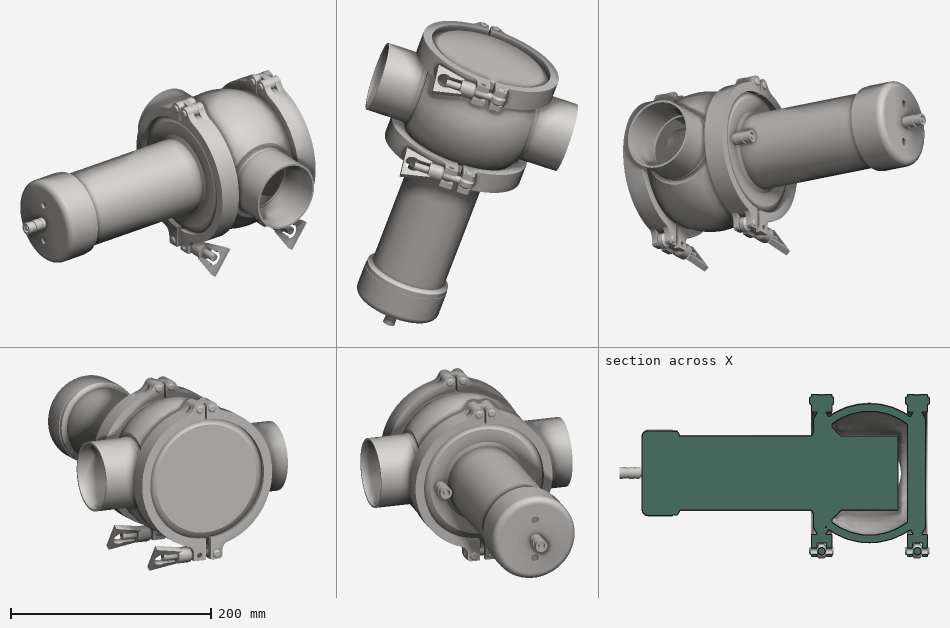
import cadquery as cq
import math

BALL_RADIUS = 70.0
BALL_WALL = 8.0
PORT_FACE_X = 57.5
PORT_BORE_RADIUS = 31.5
PIPE_SPAN = 200.0
PIPE_END_X = PIPE_SPAN / 2
PIPE_DIAMETER = 70.0
PIPE_RADIUS = PIPE_DIAMETER / 2
PIPE_BORE_RADIUS = 33.0
PIPE_BORE_START_X = 55.3
COLLAR_RADIUS = 36.5
COLLAR_LENGTH = 1.2
COLLAR_STEP_RADIUS = 35.8
COLLAR_STEP_LENGTH = 2.2
COLLAR_TAPER = 1.2

CLAMP_INNER_Y = 37.5
CLAMP_WIDTH = 20.7
CLAMP_OFFSET = CLAMP_INNER_Y + CLAMP_WIDTH / 2
CLAMP_RADIUS = 70.0
CLAMP_BORE_RADIUS = 61.2
CLAMP_HALF_SHIFT = 1.5

COVER_FACE_Y = 56.0
COVER_INNER_Y = 39.5
COVER_FACE_RADIUS = 55.3
COVER_RIM_RADIUS = 64.3
COVER_BEVEL = 5.3

HINGE_PIN_X = (-5.3, 8.0)
HINGE_Z = 72.3
HINGE_KNUCKLE_RADIUS = 6.5
HINGE_LINK_WIDTH = 6.8
HINGE_LINK_RADIUS = 6.2
HINGE_FLARE_X = (-18.8, 21.3)
HINGE_FLARE_TOP_Z = 74.0
HINGE_FLARE_MID_Z = 70.0
HINGE_FLARE_SAG = 3.0
HINGE_SPLIT_X = (0.3, 2.5)

BOLT_Z = -77.8
EYE_PIN_X = -10.5
SEAT_HOLE_X = 8.0
SEAT_HOLE_DIAMETER = 6.0
LUG_BOTTOM_Z = -83.0
LUG_CHAMFER = 2.0
LUG_FLARE_END_Z = -77.0
LUG_FLARE_MID_Z = -70.5
LUG_FLARE_SAG = 1.5
LUG_OUTER_X = (-16.7, 14.5)
LUG_FLARE_X = (-20.5, 19.0)
LUG_SPLIT_X = (-4.3, 1.5)
BOLT_SLOT_WIDTH = 9.3

PIN_HEAD_DIAMETER = 8.0
PIN_HEAD_HEIGHT = 2.0
PIN_HEAD_ROUND = 1.7

BOLT_DIAMETER = 7.7
BOLT_END_X = 44.2
EYE_DIAMETER = 15.5
EYE_WIDTH = 8.5
EYE_CHAMFER = 2.0
HUB_DIAMETER = 16.0
HUB_X = (14.0, 29.3)
HUB_FILLET = 3.5
WING_X = (27.2, 55.5)
WING_ROOT_HALF_SPAN = 9.0
WING_TIP_HALF_SPAN = 15.8
WING_THICKNESS = 6.0
WING_TILT = 36
WING_SLOT_WIDTH = 12.5
WING_HOLE_DIAMETER = 15.5
WING_HOLE_X = 46.3

TUBE_RADIUS = 38.0
TUBE_END_Y = -188.7
TUBE_WELD_WIDTH = 3.7
TUBE_WELD_HEIGHT = 2.2
INSERT_END_Y = 28.7
INSERT_FLARE_Y = -28.0
CAP_RADIUS = 43.2
CAP_STEP_RADIUS = 42.5
CAP_BACK_Y = -191.5
CAP_BAND_Y = -196.5
CAP_FRONT_Y = -227.0
CAP_ROUND = 6.5
CAP_HOLE_DIAMETER = 7.7
CAP_HOLE_DEPTH = 3.0
CAP_HOLE_Z = 20.0

FITTING_LENGTH = 22.0
SIDE_FITTING_X = -45.5
SIDE_FITTING_RECESS = 0.5
FITTING_BORE_DIAMETER = 7.7
FITTING_CORE_DIAMETER = 4.3
FITTING_BORE_DEPTH = 4.5


def rod_x(radius, start, end):
    """Cylinder about the X axis."""
    return cq.Workplane("YZ").workplane(offset=start).circle(radius).extrude(end - start)


def rod_y(radius, start, end, x=0.0, z=0.0):
    """Cylinder along Y through the point (x, z)."""
    rod = cq.Workplane("XZ").circle(radius).extrude(start - end)
    return rod.translate((x, start, z))


def slab(x_range, width, z_range):
    """Box centred on Y = 0."""
    length = x_range[1] - x_range[0]
    height = z_range[1] - z_range[0]
    box = cq.Workplane("XY").box(length, width, height, centered=(False, True, False))
    return box.translate((x_range[0], 0, z_range[0]))


def turned_y(profile):
    """Turn a closed (radius, y) outline about the Y axis."""
    return cq.Workplane("XY").polyline(profile).close().revolve(360, (0, 0, 0), (0, 1, 0))


def ball_housing():
    """Hollow ball with a flat, a stepped collar and a pipe at both ports."""
    limits = cq.Workplane("XY").box(2 * PORT_FACE_X, 2 * CLAMP_OFFSET, 2 * BALL_RADIUS)
    body = cq.Workplane("XY").sphere(BALL_RADIUS).intersect(limits)
    collar_end = PORT_FACE_X + COLLAR_LENGTH
    step_end = collar_end + COLLAR_STEP_LENGTH
    taper_end = step_end + COLLAR_TAPER
    collar_outline = [
        (0, 0),
        (0, COLLAR_RADIUS),
        (collar_end, COLLAR_RADIUS),
        (collar_end, COLLAR_STEP_RADIUS),
        (step_end, COLLAR_STEP_RADIUS),
        (taper_end, PIPE_RADIUS),
        (PIPE_END_X, PIPE_RADIUS),
        (PIPE_END_X, 0),
    ]
    port = cq.Workplane("XY").polyline(collar_outline).close().revolve(360, (0, 0, 0), (1, 0, 0))
    body = body.union(port).union(port.mirror("YZ"))
    hollow_limits = cq.Workplane("XY").box(2 * BALL_RADIUS, 2 * CLAMP_INNER_Y, 2 * BALL_RADIUS)
    body = body.cut(cq.Workplane("XY").sphere(BALL_RADIUS - BALL_WALL).intersect(hollow_limits))
    body = body.cut(rod_x(PORT_BORE_RADIUS, -PIPE_END_X, PIPE_END_X))
    pipe_bore = rod_x(PIPE_BORE_RADIUS, PIPE_BORE_START_X, PIPE_END_X)
    return body.cut(pipe_bore).cut(pipe_bore.mirror("YZ"))


def cover():
    """Disc bevelled on both sides, with its outer face towards -Y."""
    return turned_y([
        (0, -COVER_FACE_Y),
        (COVER_FACE_RADIUS, -COVER_FACE_Y),
        (COVER_RIM_RADIUS, COVER_BEVEL - COVER_FACE_Y),
        (COVER_RIM_RADIUS, -COVER_BEVEL - COVER_INNER_Y),
        (COVER_FACE_RADIUS, -COVER_INNER_Y),
        (0, -COVER_INNER_Y),
    ])


def circle_z(x):
    """Height of the clamp's outer surface above a given X."""
    return math.sqrt(CLAMP_RADIUS**2 - (abs(x) - CLAMP_HALF_SHIFT) ** 2)


def spread_disc(radius):
    """Two discs across the clamp width, shifted apart along X and joined."""
    half = CLAMP_WIDTH / 2
    left = rod_y(radius, -half, half, -CLAMP_HALF_SHIFT)
    return left.union(rod_y(radius, -half, half, CLAMP_HALF_SHIFT))


def plate(outline):
    """Extrude a closed XZ outline over the clamp width, centred on Y = 0."""
    return outline.close().extrude(CLAMP_WIDTH / 2, both=True)


def hinge_lugs():
    """Slotted pair of hinge knuckles flaring into the ring."""
    radius = HINGE_KNUCKLE_RADIUS
    reach = math.sqrt(radius**2 - (HINGE_FLARE_TOP_Z - HINGE_Z) ** 2)
    left_x = HINGE_PIN_X[0] - reach
    right_x = HINGE_PIN_X[1] + reach
    outline = (
        cq.Workplane("XZ")
        .moveTo(HINGE_FLARE_X[0], 0)
        .lineTo(HINGE_FLARE_X[0], circle_z(HINGE_FLARE_X[0]))
        .threePointArc((left_x - HINGE_FLARE_SAG, HINGE_FLARE_MID_Z), (left_x, HINGE_FLARE_TOP_Z))
        .lineTo(HINGE_PIN_X[0], HINGE_Z)
        .lineTo(HINGE_PIN_X[1], HINGE_Z)
        .lineTo(right_x, HINGE_FLARE_TOP_Z)
        .threePointArc(
            (right_x + HINGE_FLARE_SAG, HINGE_FLARE_MID_Z),
            (HINGE_FLARE_X[1], circle_z(HINGE_FLARE_X[1])),
        )
        .lineTo(HINGE_FLARE_X[1], 0)
    )
    lugs = plate(outline)
    half = CLAMP_WIDTH / 2
    for x in HINGE_PIN_X:
        lugs = lugs.union(rod_y(radius, -half, half, x, HINGE_Z))
    return lugs.cut(slab(HINGE_FLARE_X, HINGE_LINK_WIDTH, (0, HINGE_Z + radius)))


def closing_lugs():
    """Slotted pair of lugs for the eye bolt, flaring into the ring."""
    left_flare = (LUG_FLARE_X[0], -circle_z(LUG_FLARE_X[0]))
    right_flare = (LUG_FLARE_X[1], -circle_z(LUG_FLARE_X[1]))
    outline = (
        cq.Workplane("XZ")
        .moveTo(LUG_FLARE_X[0], 0)
        .lineTo(*left_flare)
        .threePointArc((LUG_OUTER_X[0] - LUG_FLARE_SAG, LUG_FLARE_MID_Z), (LUG_OUTER_X[0], LUG_FLARE_END_Z))
        .lineTo(LUG_OUTER_X[0], LUG_BOTTOM_Z + LUG_CHAMFER)
        .lineTo(LUG_OUTER_X[0] + LUG_CHAMFER, LUG_BOTTOM_Z)
        .lineTo(LUG_OUTER_X[1], LUG_BOTTOM_Z)
        .lineTo(LUG_OUTER_X[1], LUG_FLARE_END_Z)
        .threePointArc((LUG_OUTER_X[1] + LUG_FLARE_SAG, LUG_FLARE_MID_Z), right_flare)
        .lineTo(LUG_FLARE_X[1], 0)
    )
    lugs = plate(outline)
    return lugs.cut(slab(LUG_FLARE_X, BOLT_SLOT_WIDTH, (LUG_BOTTOM_Z, 0)))


def headed_pin(x, z):
    """Pin across the clamp with a domed head at each end."""
    reach = CLAMP_WIDTH / 2 + PIN_HEAD_HEIGHT
    pin = rod_y(PIN_HEAD_DIAMETER / 2, -reach, reach, x, z)
    return pin.faces("<Y or >Y").edges().fillet(PIN_HEAD_ROUND)


def hinge_link():
    """Flat link joining the two hinge pins."""
    spacing = HINGE_PIN_X[1] - HINGE_PIN_X[0]
    middle = sum(HINGE_PIN_X) / 2
    radius = HINGE_LINK_RADIUS
    link = cq.Workplane("XZ").slot2D(spacing + 2 * radius, 2 * radius)
    return link.extrude(HINGE_LINK_WIDTH / 2, both=True).translate((middle, 0, HINGE_Z))


def wings():
    """Open tapered wings of the nut, tilted about the bolt axis."""
    root_x, tip_x = WING_X
    outline = [
        (root_x, -WING_ROOT_HALF_SPAN),
        (tip_x, -WING_TIP_HALF_SPAN),
        (tip_x, WING_TIP_HALF_SPAN),
        (root_x, WING_ROOT_HALF_SPAN),
    ]
    half = WING_THICKNESS / 2
    blade = cq.Workplane("XZ").polyline(outline).close().extrude(half, both=True)
    slot_z = (-WING_SLOT_WIDTH / 2, WING_SLOT_WIDTH / 2)
    blade = blade.cut(slab((root_x, WING_HOLE_X), WING_THICKNESS, slot_z))
    blade = blade.cut(rod_y(WING_HOLE_DIAMETER / 2, -half, half, WING_HOLE_X))
    return blade.rotate((0, 0, 0), (1, 0, 0), -WING_TILT)


def eye_bolt():
    """Eye bolt along X carrying the wing nut."""
    bolt = rod_x(BOLT_DIAMETER / 2, EYE_PIN_X, BOLT_END_X)
    hub = rod_x(HUB_DIAMETER / 2, *HUB_X).faces("<X").edges().fillet(HUB_FILLET)
    eye = rod_y(EYE_DIAMETER / 2, -EYE_WIDTH / 2, EYE_WIDTH / 2, EYE_PIN_X)
    eye = eye.faces("<Y or >Y").chamfer(EYE_CHAMFER)
    return bolt.union(hub).union(wings()).union(eye).translate((0, 0, BOLT_Z))


def clamp():
    """Split clamp ring with hinge and closing bolt, centred on Y = 0."""
    half = CLAMP_WIDTH / 2
    ring = spread_disc(CLAMP_RADIUS).union(hinge_lugs()).union(closing_lugs())
    ring = ring.cut(spread_disc(CLAMP_BORE_RADIUS))
    top_z = HINGE_Z + HINGE_KNUCKLE_RADIUS
    ring = ring.cut(slab(HINGE_SPLIT_X, CLAMP_WIDTH, (0, top_z)))
    ring = ring.cut(slab(LUG_SPLIT_X, CLAMP_WIDTH, (LUG_BOTTOM_Z, 0)))
    ring = ring.cut(rod_y(SEAT_HOLE_DIAMETER / 2, -half, half, SEAT_HOLE_X, BOLT_Z))
    ring = ring.union(hinge_link()).union(eye_bolt())
    for x in HINGE_PIN_X:
        ring = ring.union(headed_pin(x, HINGE_Z))
    return ring.union(headed_pin(EYE_PIN_X, BOLT_Z))


def filter_tube():
    """Tube through the front cover, flared inside the ball and capped outside."""
    flare_radius = TUBE_RADIUS + INSERT_FLARE_Y + COVER_INNER_Y
    tube = turned_y([
        (0, INSERT_END_Y),
        (TUBE_RADIUS, INSERT_END_Y),
        (TUBE_RADIUS, INSERT_FLARE_Y),
        (flare_radius, -COVER_INNER_Y),
        (flare_radius, -COVER_FACE_Y),
        (TUBE_RADIUS + TUBE_WELD_WIDTH, -COVER_FACE_Y),
        (TUBE_RADIUS, -COVER_FACE_Y - TUBE_WELD_HEIGHT),
        (TUBE_RADIUS, TUBE_END_Y),
        (CAP_STEP_RADIUS, CAP_BACK_Y),
        (CAP_STEP_RADIUS, CAP_BAND_Y),
        (CAP_RADIUS, CAP_BAND_Y),
        (CAP_RADIUS, CAP_FRONT_Y),
        (0, CAP_FRONT_Y),
    ])
    tube = tube.faces("<Y").edges().fillet(CAP_ROUND)
    for z in (-CAP_HOLE_Z, CAP_HOLE_Z):
        tube = tube.cut(rod_y(CAP_HOLE_DIAMETER / 2, CAP_FRONT_Y, CAP_FRONT_Y + CAP_HOLE_DEPTH, 0, z))
    return tube


def fitting(x, seat_y):
    """Grooved hose fitting pointing along -Y from its seat."""
    sections = [
        (8.0, 1.2),
        (11.5, 2.5),
        (12.0, 5.3),
        (11.5, 7.5),
        (12.0, 13.0),
        (10.0, 14.2),
        (11.5, 18.5),
        (12.0, FITTING_LENGTH),
    ]
    outline = [(0, 0)]
    section_start = 0
    for diameter, section_end in sections:
        outline += [(diameter / 2, -section_start), (diameter / 2, -section_end)]
        section_start = section_end
    outline.append((0, -FITTING_LENGTH))
    bore_floor = FITTING_BORE_DEPTH - FITTING_LENGTH
    bore = rod_y(FITTING_BORE_DIAMETER / 2, -FITTING_LENGTH, bore_floor)
    core = rod_y(FITTING_CORE_DIAMETER / 2, -FITTING_LENGTH, bore_floor)
    return turned_y(outline).cut(bore.cut(core)).translate((x, seat_y, 0))


result = ball_housing().union(cover()).union(cover().mirror("XZ"))
for side in (-1, 1):
    result = result.union(clamp().translate((0, side * CLAMP_OFFSET, 0)))
result = result.union(filter_tube())
result = result.union(fitting(0, CAP_FRONT_Y))
result = result.union(fitting(SIDE_FITTING_X, SIDE_FITTING_RECESS - COVER_FACE_Y))